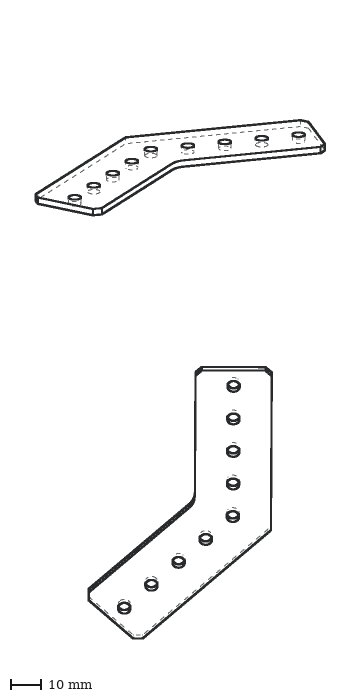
import cadquery as cq
import math

thickness = 2.29
width = 25.4
bend_angle = 45.0

hole_diameter = 4.15
hole_pitch = 12.7
holes_per_arm = 4
end_margin = 6.22

corner_chamfer = 2.15
inner_fillet = 6.35

half_width = width / 2
arm_length = holes_per_arm * hole_pitch + end_margin
arm_direction = math.radians(90 - bend_angle)
cos_arm = math.cos(arm_direction)
sin_arm = math.sin(arm_direction)
miter = half_width * math.tan(math.radians(bend_angle / 2))


def upper_arm_point(along, left):
    """Point of the slanted arm, measured from the bend along and left of its centre line."""
    return (along * cos_arm - left * sin_arm, along * sin_arm + left * cos_arm)


def make_plate():
    """Bent plate centred on the bend hole, resting on Z = 0."""
    inner_corner = (half_width, -miter)
    outer_corner = (-half_width, miter)
    end_corners = [
        (-half_width, -arm_length),
        (half_width, -arm_length),
        upper_arm_point(arm_length, -half_width),
        upper_arm_point(arm_length, half_width),
    ]
    outline = end_corners[:2] + [inner_corner] + end_corners[2:] + [outer_corner]
    plate = cq.Workplane("XY").polyline(outline).close().extrude(thickness)

    for x, y in end_corners:
        corner = cq.selectors.NearestToPointSelector((x, y, thickness / 2))
        plate = plate.edges("|Z").edges(corner).chamfer(corner_chamfer)

    bend = cq.selectors.NearestToPointSelector((*inner_corner, thickness / 2))
    return plate.edges("|Z").edges(bend).fillet(inner_fillet)


def drill_holes(plate):
    """Through holes along the centre lines of both arms."""
    centres = [(0, 0)]
    for index in range(1, holes_per_arm + 1):
        distance = index * hole_pitch
        centres.append((0, -distance))
        centres.append(upper_arm_point(distance, 0))
    cutters = cq.Workplane("XY").pushPoints(centres).circle(hole_diameter / 2).extrude(thickness)
    return plate.cut(cutters)


result = drill_holes(make_plate())